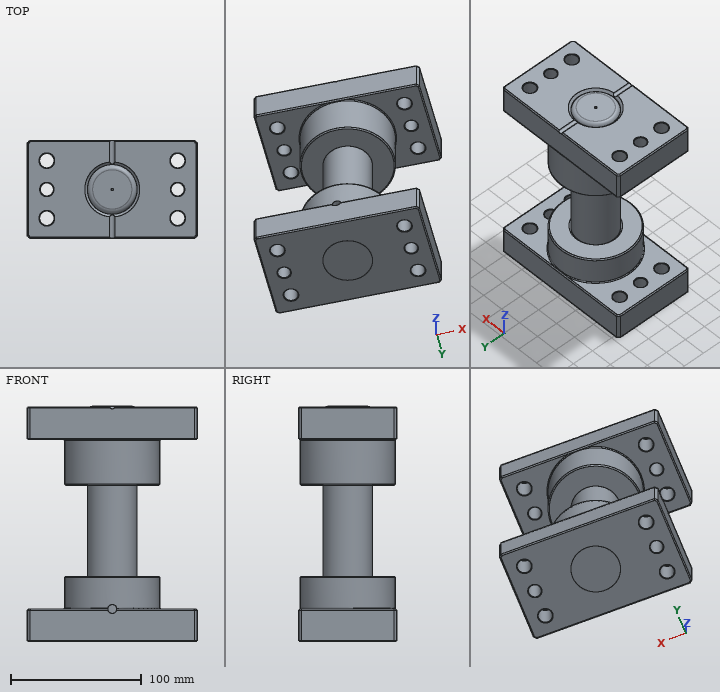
import cadquery as cq
import math

plate_length = 130.0
plate_width = 75.0
plate_thickness = 25.0
corner_chamfer = 2.0
edge_chamfer = 1.0

boss_diameter = 73.0
lower_boss_height = 25.0
upper_boss_height = 35.0
boss_chamfer = 1.0
boss_root_radius = 0.8

total_height = 180.0
pin_diameter = 38.0
pin_end_radius = 4.0
pin_projection = 0.5
center_hole_diameter = 1.7
center_hole_depth = 2.0

upper_bore_chamfer = 2.0
lower_bore_chamfer = 1.5

hole_spacing_x = 100.0
hole_spacing_y = 44.0
screw_hole_diameter = 11.0
dowel_hole_diameter = 10.0
hole_chamfer = 0.5

groove_radius = 2.0
groove_depth = 1.5
port_diameter = 6.8

lower_plate_top = plate_thickness
lower_boss_top = lower_plate_top + lower_boss_height
upper_plate_top = total_height - pin_projection
upper_plate_bottom = upper_plate_top - plate_thickness
upper_boss_bottom = upper_plate_bottom - upper_boss_height


def cylinder(diameter, z_start, z_end):
    return cq.Workplane("XY").workplane(offset=z_start).circle(diameter / 2).extrude(z_end - z_start)


def cone_frustum(diameter_start, diameter_end, z_start, z_end):
    solid = cq.Solid.makeCone(
        diameter_start / 2, diameter_end / 2, z_end - z_start, cq.Vector(0, 0, z_start)
    )
    return cq.Workplane(obj=solid)


def cross_cylinder(radius, y_start, length, z):
    solid = cq.Solid.makeCylinder(radius, length, cq.Vector(0, y_start, z), cq.Vector(0, 1, 0))
    return cq.Workplane(obj=solid)


def chamfered_hole(x, y, diameter, z_bottom):
    """Cutter for a through hole with a chamfer at both plate faces."""
    r = diameter / 2
    z_top = z_bottom + plate_thickness
    wide = r + hole_chamfer
    profile = [
        (0, z_bottom),
        (wide, z_bottom),
        (r, z_bottom + hole_chamfer),
        (r, z_top - hole_chamfer),
        (wide, z_top),
        (0, z_top),
    ]
    return cq.Workplane("XZ").polyline(profile).close().revolve(360, (0, 0), (0, 1)).translate((x, y, 0))


def plate(z_bottom):
    body = (
        cq.Workplane("XY")
        .workplane(offset=z_bottom)
        .rect(plate_length, plate_width)
        .extrude(plate_thickness)
        .edges("|Z")
        .chamfer(corner_chamfer)
        .faces("<Z or >Z")
        .edges()
        .chamfer(edge_chamfer)
    )
    for x in (-hole_spacing_x / 2, hole_spacing_x / 2):
        for y in (-hole_spacing_y / 2, 0, hole_spacing_y / 2):
            diameter = screw_hole_diameter if y else dowel_hole_diameter
            body = body.cut(chamfered_hole(x, y, diameter, z_bottom))
    return body


def boss_root(z_plate, direction):
    """Fillet ring where a boss meets its plate, kept inside the flat part of the plate face.

    The boss rises along +Z for direction 1 and along -Z for direction -1.
    """
    r = boss_diameter / 2
    outer = r + boss_root_radius
    z_tangent = z_plate + direction * boss_root_radius
    arc_inset = boss_root_radius * math.sqrt(0.5)
    arc_middle = (outer - arc_inset, z_tangent - direction * arc_inset)
    ring = (
        cq.Workplane("XZ")
        .moveTo(0, z_plate)
        .lineTo(outer, z_plate)
        .threePointArc(arc_middle, (r, z_tangent))
        .lineTo(0, z_tangent)
        .close()
        .revolve(360, (0, 0), (0, 1))
    )
    flat_width = plate_width - 2 * edge_chamfer
    face_zone = (
        cq.Workplane("XY")
        .workplane(offset=z_plate)
        .rect(plate_length, flat_width)
        .extrude(direction * boss_root_radius)
    )
    return ring.intersect(face_zone)


def lower_holder():
    boss = cylinder(boss_diameter, lower_plate_top, lower_boss_top).faces(">Z").chamfer(boss_chamfer)
    body = plate(0)
    body = body.union(boss).union(boss_root(lower_plate_top, 1))
    body = body.cut(cylinder(pin_diameter, 0, lower_boss_top))
    mouth_diameter = pin_diameter + 2 * lower_bore_chamfer
    body = body.cut(
        cone_frustum(pin_diameter, mouth_diameter, lower_boss_top - lower_bore_chamfer, lower_boss_top)
    )
    return body.cut(cross_cylinder(port_diameter / 2, -plate_width / 2, plate_width / 2, lower_plate_top))


def upper_holder():
    boss = (
        cylinder(boss_diameter, upper_boss_bottom, upper_plate_bottom).faces("<Z").chamfer(boss_chamfer)
    )
    body = plate(upper_plate_bottom)
    body = body.union(boss).union(boss_root(upper_plate_bottom, -1))
    body = body.cut(cylinder(pin_diameter, upper_boss_bottom, upper_plate_top))
    mouth_diameter = pin_diameter + 2 * upper_bore_chamfer
    body = body.cut(
        cone_frustum(pin_diameter, mouth_diameter, upper_plate_top - upper_bore_chamfer, upper_plate_top)
    )
    groove_axis = upper_plate_top - groove_depth + groove_radius
    return body.cut(cross_cylinder(groove_radius, -plate_width / 2, plate_width, groove_axis))


def guide_pin():
    body = cylinder(pin_diameter, 0, total_height).faces(">Z").edges().fillet(pin_end_radius)
    return body.cut(cylinder(center_hole_diameter, total_height - center_hole_depth, total_height))


result = cq.Compound.makeCompound(
    [*lower_holder().solids().vals(), *upper_holder().solids().vals(), *guide_pin().solids().vals()]
)